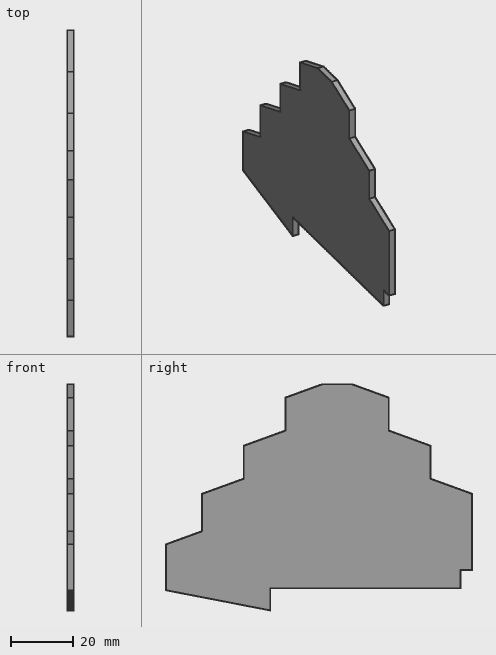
import cadquery as cq
import math

thickness = 2.2
length = 98.2
height = 72.6

roof_slope = math.tan(math.radians(20.0))
tier_run = 13.4
tier_pitch = 15.4
eave_half_width = 43.3
roof_axis = length - eave_half_width
ridge_half_width = 4.7

toe_shoulder_height = 25.4
toe_bottom = 6.5
base_height = 7.1
foot_back = 33.5
notch_length = 3.7
notch_top = 13.0

wall_half_widths = [eave_half_width - tier_run * step for step in (2, 1, 0)]
top_eave = height - (wall_half_widths[0] - ridge_half_width) * roof_slope


def half_roof():
    """Offset from the roof axis and height of each corner, from the ridge to the lowest eave."""
    corners = [(ridge_half_width, height)]
    for tier, half_width in enumerate(wall_half_widths):
        eave = top_eave - tier * tier_pitch
        corners.append((half_width, eave))
        if tier < len(wall_half_widths) - 1:
            next_eave = eave - tier_pitch
            corners.append((half_width, next_eave + tier_run * roof_slope))
    return corners


def plate_outline():
    """Closed outline as (Y, Z) corners, starting at the lowest eave on the toe side."""
    roof = half_roof()
    toe_side = [(roof_axis - offset, z) for offset, z in reversed(roof)]
    heel_side = [(roof_axis + offset, z) for offset, z in roof]
    toe_top = toe_shoulder_height - (roof_axis - eave_half_width) * roof_slope
    lower_edge = [
        (length, notch_top),
        (length - notch_length, notch_top),
        (length - notch_length, base_height),
        (foot_back, base_height),
        (foot_back, 0),
        (0, toe_bottom),
        (0, toe_top),
        (roof_axis - eave_half_width, toe_shoulder_height),
    ]
    return toe_side + heel_side + lower_edge


result = cq.Workplane("YZ").polyline(plate_outline()).close().extrude(thickness)